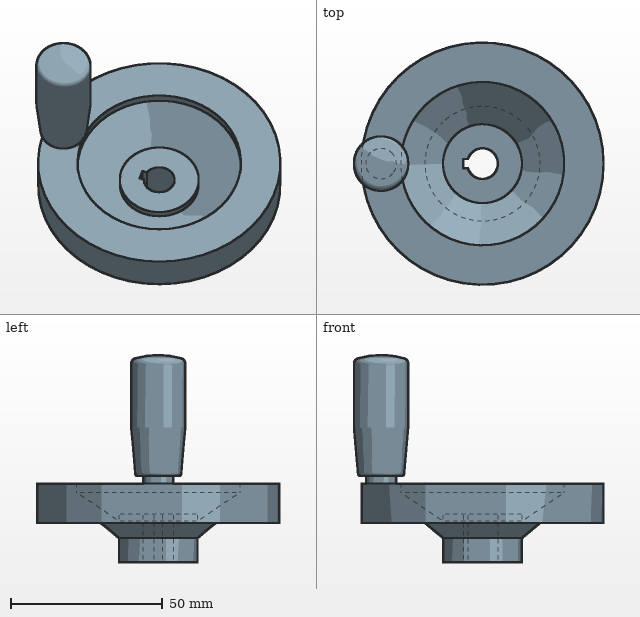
import cadquery as cq
import math

rim_radius = 40.0
rim_thickness = 13.0
hub_radius = 13.0
hub_length = 8.0
cone_height = 4.95
cone_top_radius = 19.0
rim_bottom = hub_length + cone_height
rim_top = rim_bottom + rim_thickness

recess_radius = 27.0
recess_wall_depth = 3.0
dish_depth = 12.4
hub_top = rim_top - 10.0

bore_radius = 5.0
key_width = 3.0
key_reach = 6.35

grip_radius = 9.0
overall_width = 82.5
handle_offset = overall_width - rim_radius - grip_radius
stem_radius = 5.0
stem_length = 2.5
grip_length = 40.0
taper_length = 16.0
grip_bottom_radius = 7.7
bottom_round = 1.0
shoulder_height = 2.2
dome_radius = 7.5
dome_height = 1.1


def make_wheel():
    """Revolve the rim, dish and hub about the Z axis."""
    outline = [
        (0, 0),
        (hub_radius, 0),
        (hub_radius, hub_length),
        (cone_top_radius, rim_bottom),
        (rim_radius, rim_bottom),
        (rim_radius, rim_top),
        (recess_radius, rim_top),
        (recess_radius, rim_top - recess_wall_depth),
        (hub_radius, rim_top - dish_depth),
        (hub_radius, hub_top),
        (0, hub_top),
    ]
    return cq.Workplane("XZ").polyline(outline).close().revolve(360, (0, 0), (0, 1))


def make_bore():
    """Through bore with a keyway on its -X side."""
    bore = cq.Workplane("XY").circle(bore_radius).extrude(hub_top)
    keyway = cq.Workplane("XY").rect(key_reach, key_width).extrude(hub_top)
    return bore.union(keyway.translate((-key_reach / 2, 0, 0)))


def make_handle():
    """Revolve the stem and the tapered, domed grip about the handle axis."""
    grip_bottom = rim_top + stem_length
    taper_top = grip_bottom + taper_length
    grip_top = grip_bottom + grip_length
    dome_base = grip_top - dome_height
    shoulder = dome_base - shoulder_height

    diagonal = math.sqrt(0.5)
    shoulder_mid = (
        dome_radius + (grip_radius - dome_radius) * diagonal,
        shoulder + shoulder_height * diagonal,
    )
    sphere_radius = (dome_radius**2 + dome_height**2) / (2 * dome_height)
    half_dome_radius = dome_radius / 2
    dome_drop = sphere_radius - math.sqrt(sphere_radius**2 - half_dome_radius**2)

    profile = (
        cq.Workplane("XZ")
        .moveTo(0, rim_top)
        .lineTo(stem_radius, rim_top)
        .lineTo(stem_radius, grip_bottom)
        .lineTo(grip_bottom_radius - bottom_round, grip_bottom)
        .radiusArc((grip_bottom_radius, grip_bottom + bottom_round), -bottom_round)
        .lineTo(grip_radius, taper_top)
        .lineTo(grip_radius, shoulder)
        .threePointArc(shoulder_mid, (dome_radius, dome_base))
        .threePointArc((half_dome_radius, grip_top - dome_drop), (0, grip_top))
        .close()
    )
    return profile.revolve(360, (0, 0), (0, 1)).translate((-handle_offset, 0, 0))


result = make_wheel().cut(make_bore()).union(make_handle())